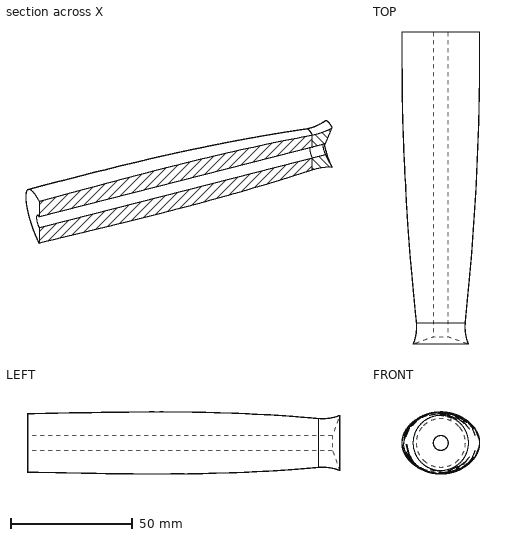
import cadquery as cq

total_length = 128.6
ferrule_length = 8.7

butt_width = 32.0
butt_height = 24.2
middle_width = 30.6
middle_height = 25.7
middle_position = 79.7
shoulder_width = 25.3
shoulder_height = 24.0
shoulder_position = 36.0
neck_diameter = 20.2

flare_diameter = 22.8
waist_diameter = 20.5
waist_position = 4.4
dish_depth = 3.0

bore_diameter = 6.0


def bore_cylinder():
    """Through bore along the whole Y axis."""
    return cq.Workplane("XZ").circle(bore_diameter / 2).extrude(-total_length)


def make_grip():
    """Smooth loft through elliptical sections, from the neck to the butt."""
    sections = [
        (ferrule_length, neck_diameter, neck_diameter),
        (shoulder_position, shoulder_width, shoulder_height),
        (middle_position, middle_width, middle_height),
        (total_length, butt_width, butt_height),
    ]
    wires = [
        cq.Wire.makeEllipse(
            width / 2,
            height / 2,
            cq.Vector(0, position, 0),
            cq.Vector(0, 1, 0),
            cq.Vector(1, 0, 0),
        )
        for position, width, height in sections
    ]
    return cq.Workplane(cq.Solid.makeLoft(wires)).cut(bore_cylinder())


def make_ferrule():
    """Revolved collar with a flared outside, a dished end and a through bore."""
    bore_radius = bore_diameter / 2
    return (
        cq.Workplane("XY")
        .moveTo(bore_radius, dish_depth)
        .lineTo(flare_diameter / 2, 0)
        .threePointArc(
            (waist_diameter / 2, waist_position),
            (neck_diameter / 2, ferrule_length),
        )
        .lineTo(bore_radius, ferrule_length)
        .close()
        .revolve(360, (0, 0, 0), (0, 1, 0))
    )


grip = make_grip()
ferrule = make_ferrule()
result = cq.Compound.makeCompound([grip.val(), ferrule.val()])